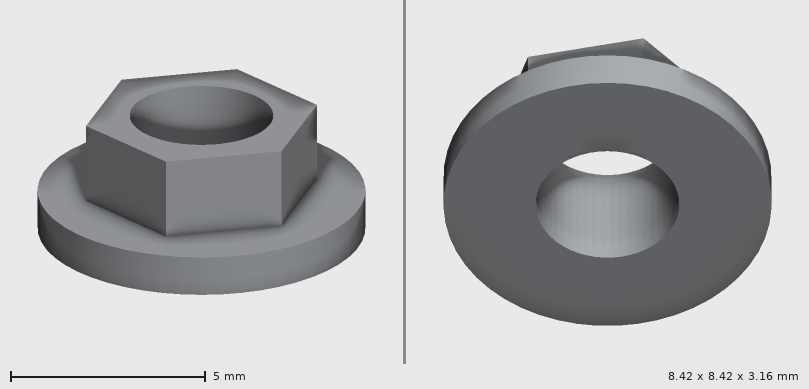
import cadquery as cq
import math

flange_diameter = 8.42
flange_thickness = 1.05
total_height = 3.16
hex_across_flats = 5.26
bore_diameter = 3.69

hex_height = total_height - flange_thickness
hex_across_corners = hex_across_flats / math.cos(math.pi / 6)

flange = cq.Workplane("XY").circle(flange_diameter / 2).extrude(flange_thickness)

hex_body = (
    cq.Workplane("XY")
    .workplane(offset=flange_thickness)
    .polygon(6, hex_across_corners)
    .extrude(hex_height)
)

bore = cq.Workplane("XY").circle(bore_diameter / 2).extrude(total_height)

result = flange.union(hex_body).cut(bore)